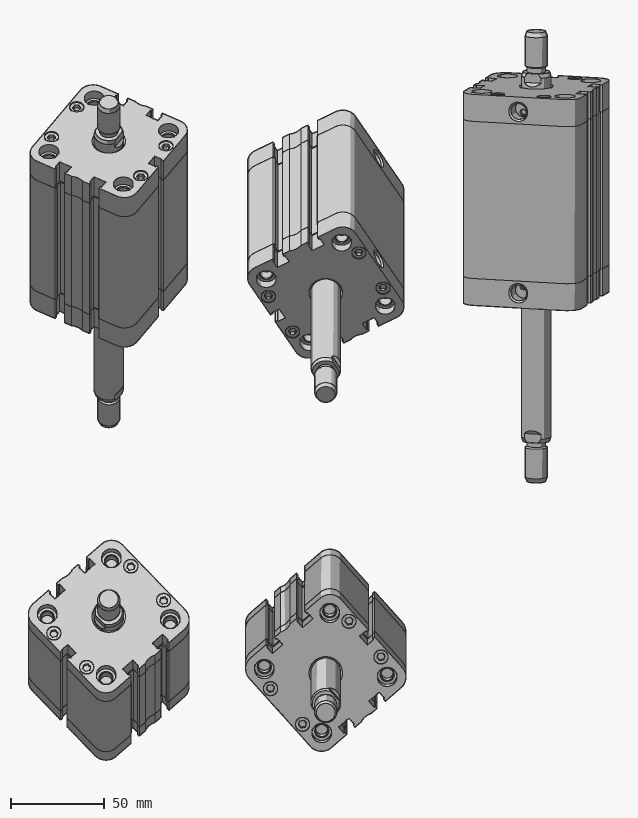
import cadquery as cq

ROD_LENGTH = 245.0
SIDE = 65.5
HALF_SIDE = SIDE / 2
CORNER_RADIUS = 7.8
CAP_HEIGHT = 14.7
BODY_HEIGHT = 115.0
ROD_OVERHANG_TOP = 30.0
BODY_TOP = ROD_LENGTH - ROD_OVERHANG_TOP
BODY_BOTTOM = BODY_TOP - BODY_HEIGHT
TUBE_BOTTOM = BODY_BOTTOM + CAP_HEIGHT
TUBE_HEIGHT = BODY_HEIGHT - 2 * CAP_HEIGHT

ROD_DIAMETER = 16.0
THREAD_DIAMETER = 12.0
NECK_DIAMETER = 10.0
TIP_CHAMFER = 2.5
THREAD_ROOT_CHAMFER = 0.7
THREAD_LENGTH = 19.4
SHOULDER = 22.0
SHOULDER_CHAMFER_RADIAL = 0.7
SHOULDER_CHAMFER_LENGTH = 2.2
FLATS_WIDTH = 13.0
FLATS_END = 27.0
FLATS_RUNOUT = 2.0

SLOT_OFFSET = 10.8
MOUTH_HALF = 3.0
POCKET_HALF = 3.7
SIDE_MOUTH_HALF = 2.5
SIDE_POCKET_HALF = 3.2
LIP = 1.5
CAP_SLOT_DEPTH = 6.0
TUBE_SLOT_DEPTH = 5.5
TUBE_SLOT_INSET = 0.7

GROOVE_HALF = 3.5
GROOVE_DEPTH = 0.7

ROD_BEVEL_DIAMETER = 18.0
MOUNT_OFFSET = 23.3
MOUNT_BORE_DIAMETER = 10.5
MOUNT_BORE_DEPTH = 5.6
MOUNT_CONE_DIAMETER = 7.5
MOUNT_HOLE_DIAMETER = 6.5
MOUNT_HOLE_DEPTH = 12.2
SCREW_X = 28.0
SCREW_Y = 13.0
SCREW_RECESS_DIAMETER = 7.5
SCREW_RECESS_DEPTH = 0.7
SOCKET_ACROSS_CORNERS = 4.5
SOCKET_DEPTH = 3.0
SOCKET_TURN = 30
PORT_DROP = 8.0
PORT_MOUTH_DIAMETER = 10.5
PORT_DIAMETER = 8.5
PORT_DEPTH = 9.0
PORT_PASSAGE_DIAMETER = 3.5
PORT_PASSAGE_OFFSET = 2.0
PORT_PASSAGE_DEPTH = 2.5


def build_rod():
    rod_radius = ROD_DIAMETER / 2
    thread_radius = THREAD_DIAMETER / 2
    neck_radius = NECK_DIAMETER / 2
    half_profile = [
        (0, 0),
        (neck_radius, 0),
        (thread_radius, TIP_CHAMFER),
        (thread_radius, THREAD_LENGTH - THREAD_ROOT_CHAMFER),
        (neck_radius, THREAD_LENGTH),
        (neck_radius, SHOULDER),
        (rod_radius - SHOULDER_CHAMFER_RADIAL, SHOULDER),
        (rod_radius, SHOULDER + SHOULDER_CHAMFER_LENGTH),
    ]
    mirrored = [(r, ROD_LENGTH - z) for r, z in reversed(half_profile)]
    rod = cq.Workplane("XZ").polyline(half_profile + mirrored).close().revolve(360, (0, 0), (0, 1))
    for side in (-1, 1):
        for at_top in (False, True):
            rod = rod.cut(wrench_flat(side, at_top))
    return rod


def wrench_flat(side, at_top):
    """Cutter for one flat on the X side of a rod end, with a sloping runout."""
    flat_x = FLATS_WIDTH / 2
    rod_radius = ROD_DIAMETER / 2
    outer_x = ROD_DIAMETER
    outline = [
        (flat_x, SHOULDER),
        (outer_x, SHOULDER),
        (outer_x, FLATS_END + FLATS_RUNOUT),
        (rod_radius, FLATS_END + FLATS_RUNOUT),
        (flat_x, FLATS_END),
    ]
    points = [(side * x, ROD_LENGTH - z if at_top else z) for x, z in outline]
    return cq.Workplane("XZ").polyline(points).close().extrude(ROD_DIAMETER, both=True)


def slot_cutter(height, depth, mouth, pocket, wall_inset=0):
    """Slot cut inward from the +X face; mouth and pocket are (low, high) ranges of Y.

    wall_inset draws in the high-Y walls of the mouth and the pocket, and bevels the mouth edge
    back out to its full width at the face.
    """
    outline = [
        (HALF_SIDE, mouth[0]),
        (HALF_SIDE - LIP, mouth[0]),
        (HALF_SIDE - LIP, pocket[0]),
        (HALF_SIDE - depth, pocket[0]),
        (HALF_SIDE - depth, pocket[1] - wall_inset),
        (HALF_SIDE - LIP, pocket[1] - wall_inset),
        (HALF_SIDE - LIP, mouth[1] - wall_inset),
        (HALF_SIDE - wall_inset, mouth[1] - wall_inset),
    ]
    if wall_inset:
        outline.append((HALF_SIDE, mouth[1]))
    return cq.Workplane("XY").polyline(outline).close().extrude(height)


def groove_cutter(height):
    return (
        cq.Workplane("XY")
        .moveTo(HALF_SIDE, -GROOVE_HALF)
        .threePointArc((HALF_SIDE - GROOVE_DEPTH, 0), (HALF_SIDE, GROOVE_HALF))
        .close()
        .extrude(height)
    )


def slotted_block(height, slot_depth, slot_inset):
    """Rounded square with its slots and rod hole, standing on Z = 0.

    slot_inset draws in the wall of each paired slot that is nearer the corner.
    """
    block = cq.Workplane("XY").rect(SIDE, SIDE).extrude(height).edges("|Z").fillet(CORNER_RADIUS)
    block = block.cut(cq.Workplane("XY").circle(ROD_DIAMETER / 2).extrude(height))

    side_mouth = (-SIDE_MOUTH_HALF, SIDE_MOUTH_HALF)
    side_pocket = (-SIDE_POCKET_HALF, SIDE_POCKET_HALF)
    block = block.cut(slot_cutter(height, slot_depth, side_mouth, side_pocket))

    mouth = (SLOT_OFFSET - MOUTH_HALF, SLOT_OFFSET + MOUTH_HALF)
    pocket = (SLOT_OFFSET - POCKET_HALF, SLOT_OFFSET + POCKET_HALF)
    slot = slot_cutter(height, slot_depth, mouth, pocket, slot_inset)
    face_cutters = slot.union(slot.mirror("XZ")).union(groove_cutter(height))
    for angle in (90, -90):
        block = block.cut(face_cutters.rotate((0, 0, 0), (0, 0, 1), angle))
    return block


def rod_bevel_cutter():
    """45 degree bevel at the mouth of the rod hole, entering downward from Z = 0."""
    bevel_radius = ROD_BEVEL_DIAMETER / 2
    rod_radius = ROD_DIAMETER / 2
    bevel_depth = bevel_radius - rod_radius
    cone = cq.Solid.makeCone(rod_radius, bevel_radius, bevel_depth)
    return cq.Workplane(cone).translate((0, 0, -bevel_depth))


def mount_hole_cutter():
    """Counterbored blind hole, entering downward from Z = 0."""
    bore_radius = MOUNT_BORE_DIAMETER / 2
    cone_radius = MOUNT_CONE_DIAMETER / 2
    hole_radius = MOUNT_HOLE_DIAMETER / 2
    cone_bottom = MOUNT_BORE_DEPTH + cone_radius - hole_radius
    profile = [
        (0, 0),
        (bore_radius, 0),
        (bore_radius, -MOUNT_BORE_DEPTH),
        (cone_radius, -MOUNT_BORE_DEPTH),
        (hole_radius, -cone_bottom),
        (hole_radius, -MOUNT_HOLE_DEPTH),
        (0, -MOUNT_HOLE_DEPTH),
    ]
    return cq.Workplane("XZ").polyline(profile).close().revolve(360, (0, 0), (0, 1))


def screw_cutter():
    """Recess over a screw head with its hexagon socket, entering downward from Z = 0."""
    recess = cq.Workplane("XY").circle(SCREW_RECESS_DIAMETER / 2).extrude(-SCREW_RECESS_DEPTH)
    socket = cq.Workplane("XY").polygon(6, SOCKET_ACROSS_CORNERS).extrude(-SOCKET_DEPTH)
    socket = socket.rotate((0, 0, 0), (0, 0, 1), SOCKET_TURN)
    return recess.union(socket)


def port_cutter():
    """Air port entering the -X face, with an off-centre passage in its floor toward the tube."""
    face = cq.Workplane("YZ", origin=(-HALF_SIDE, 0, CAP_HEIGHT - PORT_DROP))
    port_radius = PORT_DIAMETER / 2
    mouth_radius = PORT_MOUTH_DIAMETER / 2
    port = face.circle(port_radius).extrude(PORT_DEPTH)
    chamfer = cq.Solid.makeCone(
        mouth_radius,
        port_radius,
        mouth_radius - port_radius,
        pnt=cq.Vector(-HALF_SIDE, 0, CAP_HEIGHT - PORT_DROP),
        dir=cq.Vector(1, 0, 0),
    )
    passage = (
        face.center(0, -PORT_PASSAGE_OFFSET)
        .circle(PORT_PASSAGE_DIAMETER / 2)
        .extrude(PORT_DEPTH + PORT_PASSAGE_DEPTH)
    )
    return port.union(cq.Workplane(chamfer)).union(passage)


def build_cap():
    """End cap standing on Z = 0 with its outer face up."""
    cap = slotted_block(CAP_HEIGHT, CAP_SLOT_DEPTH, 0)
    cap = cap.cut(rod_bevel_cutter().translate((0, 0, CAP_HEIGHT)))
    for x_side in (-1, 1):
        for y_side in (-1, 1):
            mount_place = (x_side * MOUNT_OFFSET, y_side * MOUNT_OFFSET, CAP_HEIGHT)
            screw_place = (x_side * SCREW_X, y_side * SCREW_Y, CAP_HEIGHT)
            cap = cap.cut(mount_hole_cutter().translate(mount_place))
            cap = cap.cut(screw_cutter().translate(screw_place))
    return cap.cut(port_cutter())


rod = build_rod()
tube = slotted_block(TUBE_HEIGHT, TUBE_SLOT_DEPTH, TUBE_SLOT_INSET).translate((0, 0, TUBE_BOTTOM))
top_cap = build_cap().translate((0, 0, BODY_TOP - CAP_HEIGHT))
bottom_cap = build_cap().mirror("XY").translate((0, 0, TUBE_BOTTOM))

result = cq.Compound.makeCompound([tube.val(), top_cap.val(), bottom_cap.val(), rod.val()])